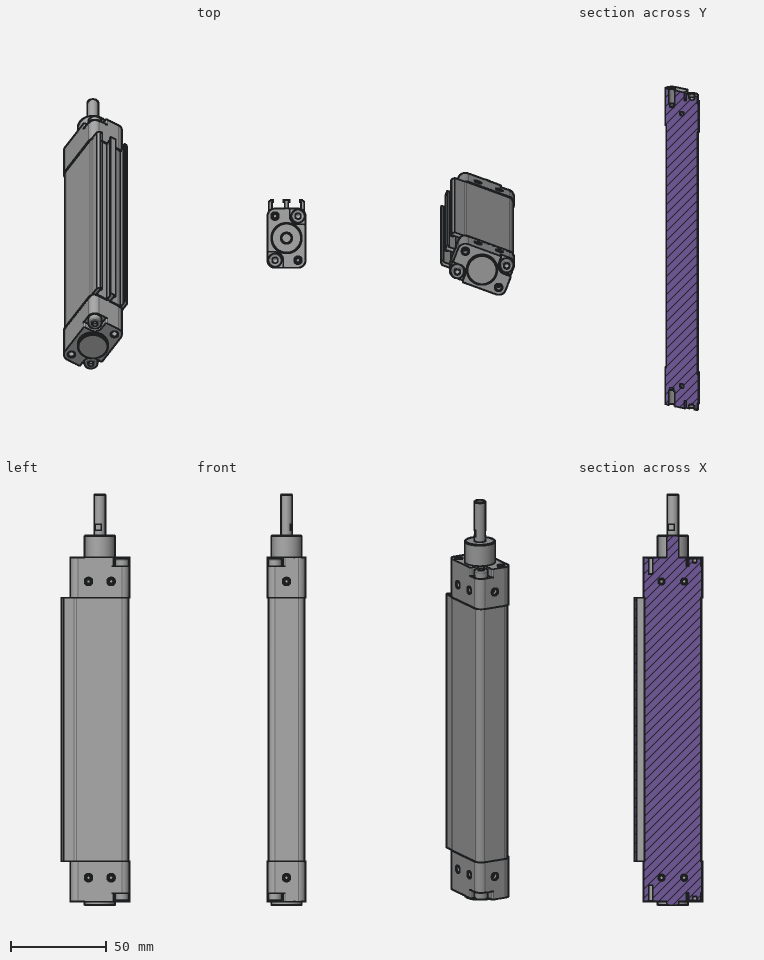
import cadquery as cq
import math


cap_width = 20.0
cap_depth = 31.0
cap_height = 21.0
cap_corner_radius = 4.0

tube_inset = 0.5
tube_length = 137.5
tube_half_width = cap_width / 2 - tube_inset
tube_half_depth = cap_depth / 2 - tube_inset
tube_corner_radius = cap_corner_radius - tube_inset

rail_top_y = 20.0
rail_side_inset = 0.15
rail_side_half_width = tube_half_width - rail_side_inset
rail_slope_start_y = 12.25
rail_slope_end_y = 13.5
rail_corner_chamfer = 1.25
rail_wall_x = 7.5
rail_lip_x = 6.9
rail_lip_thickness = 1.2
t_stem_half_width = 1.0
t_flange_half_width = 1.6

boss_diameter = 16.0
boss_chamfer = 0.5
collar_height = 11.5
rear_boss_height = 2.0

corner_x = cap_width / 2 - cap_corner_radius
corner_y = cap_depth / 2 - cap_corner_radius
pocket_radius = 4.3
pocket_depth = 4.5
pocket_edge_fillet = 0.75
screw_head_diameter = 7.0
screw_head_height = 3.9
screw_head_fillet = 0.6
socket_diameter = 3.12
socket_depth = 2.0
drill_point_half_angle = math.radians(59)

hole_mouth_diameter = 4.13
hole_bore_diameter = 3.24
hole_pilot_diameter = 2.2
hole_pilot_depth = 1.5
corner_hole_depth = 10.0
port_depth = 5.0
side_hole_depth = 5.0
side_hole_y = 5.9
cross_hole_level = 12.5

rod_diameter = 6.0
rod_chamfer = 0.5
rod_reach = 21.5
rod_engagement = collar_height
flat_spacing = 5.0
flat_height = 3.2
flat_offset = 2.6
flat_angle = -18.0

cap_top_z = 2 * cap_height + tube_length
collar_top_z = cap_top_z + collar_height


def cylinder(diameter, height, x=0.0, y=0.0, z=0.0):
    return cq.Workplane("XY", origin=(x, y, z)).circle(diameter / 2).extrude(height)


def screw_pocket():
    """Cutter for the pocket at the +X +Y corner, open to both sides and to the top."""
    wall_x = corner_x - pocket_radius
    wall_y = corner_y - pocket_radius
    side_x = cap_width / 2
    side_y = cap_depth / 2
    flare = pocket_edge_fillet
    bulge = flare * (1 - math.sqrt(0.5))
    arc_bend = pocket_radius * math.sqrt(0.5)
    return (
        cq.Workplane("XY", origin=(0, 0, cap_height - pocket_depth))
        .moveTo(wall_x - flare, side_y)
        .threePointArc((wall_x - bulge, side_y - bulge), (wall_x, side_y - flare))
        .lineTo(wall_x, corner_y)
        .threePointArc((corner_x - arc_bend, corner_y - arc_bend), (corner_x, wall_y))
        .lineTo(side_x - flare, wall_y)
        .threePointArc((side_x - bulge, wall_y - bulge), (side_x, wall_y - flare))
        .lineTo(side_x, side_y)
        .close()
        .extrude(pocket_depth)
    )


def corner_screw():
    """Screw head with a round, cone-bottomed socket, in the +X +Y pocket."""
    floor_z = cap_height - pocket_depth
    head = cylinder(screw_head_diameter, screw_head_height, corner_x, corner_y, floor_z)
    head = head.faces(">Z").edges().fillet(screw_head_fillet)
    socket_radius = socket_diameter / 2
    cone_height = socket_radius / math.tan(drill_point_half_angle)
    socket = (
        cq.Workplane("XZ")
        .polyline([
            (0, 0),
            (socket_radius, 0),
            (socket_radius, -socket_depth),
            (0, -socket_depth - cone_height),
        ])
        .close()
        .revolve(360, (0, 0, 0), (0, 1, 0))
        .translate((corner_x, corner_y, floor_z + screw_head_height))
    )
    return head.cut(socket)


def countersunk_hole(depth):
    """Cutter for a blind hole going down from the origin, with a narrower pilot at its bottom."""
    mouth_radius = hole_mouth_diameter / 2
    bore_radius = hole_bore_diameter / 2
    pilot_radius = hole_pilot_diameter / 2
    bore_depth = depth - hole_pilot_depth
    cone_depth = mouth_radius - bore_radius
    return (
        cq.Workplane("XZ")
        .polyline([
            (0, 0),
            (mouth_radius, 0),
            (bore_radius, -cone_depth),
            (bore_radius, -bore_depth),
            (pilot_radius, -bore_depth),
            (pilot_radius, -depth),
            (0, -depth),
        ])
        .close()
        .revolve(360, (0, 0, 0), (0, 1, 0))
    )


def end_cap(boss_height):
    """Cap with its inner face at Z = 0 and its outer face up."""
    cap = cq.Workplane("XY").rect(cap_width, cap_depth).extrude(cap_height)
    cap = cap.edges("|Z").fillet(cap_corner_radius)
    for turn in (0, 180):
        cap = cap.cut(screw_pocket().rotate((0, 0, 0), (0, 0, 1), turn))

    boss = cylinder(boss_diameter, boss_height, z=cap_height)
    cap = cap.union(boss.faces(">Z").chamfer(boss_chamfer))
    for turn in (0, 180):
        cap = cap.union(corner_screw().rotate((0, 0, 0), (0, 0, 1), turn))

    hole_z = cap_height - cross_hole_level
    port = countersunk_hole(port_depth).rotate((0, 0, 0), (1, 0, 0), 90)
    cap = cap.cut(port.translate((0, -cap_depth / 2, hole_z)))
    side_hole = countersunk_hole(side_hole_depth).rotate((0, 0, 0), (0, 1, 0), -90)
    corner_hole = countersunk_hole(corner_hole_depth)
    for side in (-1, 1):
        cap = cap.cut(side_hole.translate((-cap_width / 2, side * side_hole_y, hole_z)))
        cap = cap.cut(corner_hole.translate((side * corner_x, -side * corner_y, cap_height)))
    return cap


def side_rail():
    """Hooked rail on the +X side, starting inside the tube."""
    lip_y = rail_top_y - rail_lip_thickness
    return (
        cq.Workplane("XY")
        .moveTo(rail_wall_x, 0)
        .lineTo(tube_half_width, 0)
        .lineTo(tube_half_width, rail_slope_start_y)
        .lineTo(rail_side_half_width, rail_slope_end_y)
        .lineTo(rail_side_half_width, rail_top_y - rail_corner_chamfer)
        .lineTo(rail_side_half_width - rail_corner_chamfer, rail_top_y)
        .lineTo(rail_lip_x, rail_top_y)
        .lineTo(rail_lip_x, lip_y)
        .lineTo(rail_wall_x, lip_y)
        .close()
        .extrude(tube_length)
    )


def middle_rail():
    """T-shaped rail on the centre line, starting inside the tube."""
    stem = cq.Workplane("XY").center(0, rail_top_y / 2).rect(2 * t_stem_half_width, rail_top_y)
    flange_y = rail_top_y - rail_lip_thickness / 2
    flange = cq.Workplane("XY").center(0, flange_y).rect(2 * t_flange_half_width, rail_lip_thickness)
    return stem.extrude(tube_length).union(flange.extrude(tube_length))


def tube():
    body = cq.Workplane("XY").rect(2 * tube_half_width, 2 * tube_half_depth).extrude(tube_length)
    body = body.edges("|Z").fillet(tube_corner_radius)
    rail = side_rail()
    return body.union(rail).union(rail.mirror("YZ")).union(middle_rail())


def piston_rod():
    rod = cylinder(rod_diameter, rod_engagement + rod_reach, z=cap_top_z)
    rod = rod.faces(">Z").chamfer(rod_chamfer)
    flat_z = collar_top_z + flat_offset
    band = cylinder(2 * rod_diameter, flat_height, z=flat_z)
    blade = cq.Workplane("XY", origin=(0, 0, flat_z)).rect(flat_spacing, 3 * rod_diameter)
    blade = blade.extrude(flat_height).rotate((0, 0, 0), (0, 0, 1), flat_angle)
    return rod.cut(band.cut(blade))


upper_cap = end_cap(collar_height).translate((0, 0, cap_height + tube_length))
lower_cap = end_cap(rear_boss_height).mirror("XY").translate((0, 0, cap_height))
housing = tube().translate((0, 0, cap_height)).union(upper_cap).union(lower_cap)
housing = housing.cut(cylinder(rod_diameter, rod_engagement, z=cap_top_z))
rod = piston_rod()

result = cq.Compound.makeCompound([housing.val(), rod.val()])